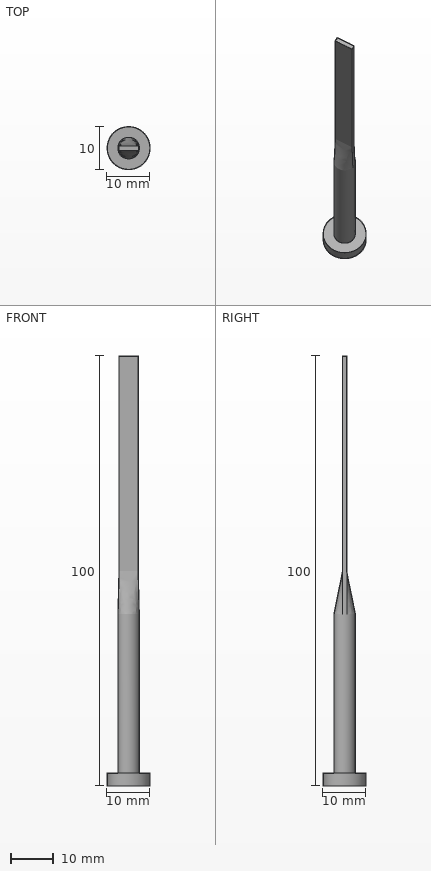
import cadquery as cq
import math

total_length = 100.0
head_diameter = 10.0
head_height = 3.0
shaft_diameter = 5.0
shaft_top = 40.0
blade_bottom = 50.0
blade_width = 4.5
blade_thickness = 1.0

shaft_radius = shaft_diameter / 2
half_width = blade_width / 2
half_thickness = blade_thickness / 2


def make_transition():
    """Ruled blend from the round shaft to the blade, one face per blade side."""
    split_x = math.sqrt(shaft_radius**2 - half_thickness**2)
    round_end = (
        cq.Workplane("XY", origin=(0, 0, shaft_top))
        .moveTo(split_x, half_thickness)
        .threePointArc((0, shaft_radius), (-split_x, half_thickness))
        .threePointArc((-shaft_radius, 0), (-split_x, -half_thickness))
        .threePointArc((0, -shaft_radius), (split_x, -half_thickness))
        .threePointArc((shaft_radius, 0), (split_x, half_thickness))
        .wire()
        .val()
    )
    flat_end = (
        cq.Workplane("XY", origin=(0, 0, blade_bottom))
        .moveTo(half_width, half_thickness)
        .lineTo(-half_width, half_thickness)
        .lineTo(-half_width, -half_thickness)
        .lineTo(half_width, -half_thickness)
        .close()
        .wire()
        .val()
    )
    return cq.Solid.makeLoft([round_end, flat_end], True)


head = cq.Workplane("XY").circle(head_diameter / 2).extrude(head_height)
shaft = cq.Workplane("XY").circle(shaft_radius).extrude(shaft_top)
blade = (
    cq.Workplane("XY", origin=(0, 0, blade_bottom))
    .rect(blade_width, blade_thickness)
    .extrude(total_length - blade_bottom)
)

result = head.union(shaft).union(cq.Workplane(make_transition())).union(blade)